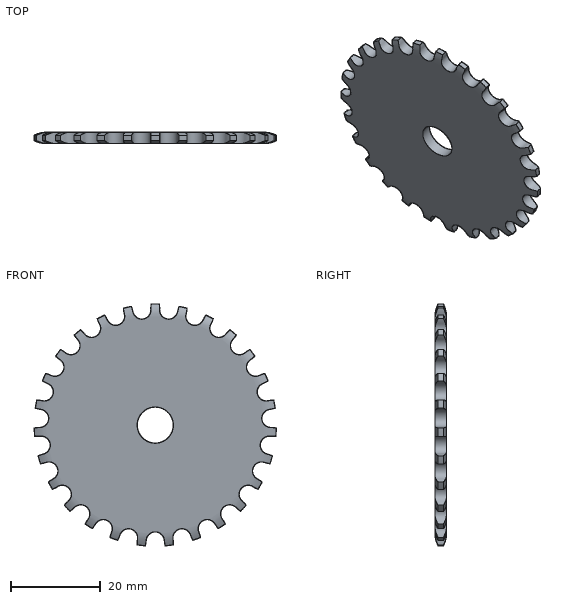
import cadquery as cq
import math

overall_length = 54.0
thickness = 2.6
bore_diameter = 8.0
tooth_count = 27
chain_pitch = 6.0

seat_radius = 2.0
flank_angle = 4.0
gap_tip_half_angle = 4.7

tip_thickness = 1.2
bevel_start_radius = 24.2

cutter_clearance = 0.55

tooth_angle = 360 / tooth_count
pitch_radius = chain_pitch / 2 / math.sin(math.pi / tooth_count)
half_thickness = thickness / 2
half_tip = tip_thickness / 2

corner_angle = math.radians(gap_tip_half_angle - tooth_angle / 4)
tip_radius = overall_length / 2 / math.cos(corner_angle)


def make_blank():
    """Disc whose side faces curve tangentially inward to the narrow tip."""
    bevel_depth = tip_radius - bevel_start_radius
    bevel_drop = half_thickness - half_tip
    bevel_radius = (bevel_depth**2 + bevel_drop**2) / (2 * bevel_drop)
    mid_angle = math.asin(bevel_depth / bevel_radius) / 2
    mid_radius = bevel_start_radius + bevel_radius * math.sin(mid_angle)
    mid_half = half_thickness - bevel_radius * (1 - math.cos(mid_angle))
    return (
        cq.Workplane("YZ")
        .moveTo(-half_thickness, 0)
        .lineTo(-half_thickness, bevel_start_radius)
        .threePointArc((-mid_half, mid_radius), (-half_tip, tip_radius))
        .lineTo(half_tip, tip_radius)
        .threePointArc((mid_half, mid_radius), (half_thickness, bevel_start_radius))
        .lineTo(half_thickness, 0)
        .close()
        .revolve(360, (0, 0, 0), (1, 0, 0))
    )


def make_gap_cutter():
    """Cutter for one tooth gap, centred on +Z and open past the tip circle."""
    clearance_z = tip_radius + cutter_clearance
    flank = math.radians(flank_angle)
    seat_end_x = seat_radius * math.cos(flank)
    seat_end_z = pitch_radius - seat_radius * math.sin(flank)
    tip_x = tip_radius * math.sin(math.radians(gap_tip_half_angle))
    tip_z = tip_radius * math.cos(math.radians(gap_tip_half_angle))

    run_x = tip_x - seat_end_x
    run_z = tip_z - seat_end_z
    chord_half = math.hypot(run_x, run_z) / 2
    chord_angle = math.atan2(run_x, run_z)
    bulge = chord_half * math.tan((chord_angle - flank) / 2)
    mid_x = (seat_end_x + tip_x) / 2 - bulge * math.cos(chord_angle)
    mid_z = (seat_end_z + tip_z) / 2 + bulge * math.sin(chord_angle)

    return (
        cq.Workplane("XZ")
        .moveTo(-tip_x, tip_z)
        .threePointArc((-mid_x, mid_z), (-seat_end_x, seat_end_z))
        .threePointArc((0, pitch_radius - seat_radius), (seat_end_x, seat_end_z))
        .threePointArc((mid_x, mid_z), (tip_x, tip_z))
        .lineTo(tip_x, clearance_z)
        .lineTo(-tip_x, clearance_z)
        .close()
        .extrude(half_thickness, both=True)
    )


sprocket = make_blank()

gap_cutter = make_gap_cutter()
for index in range(tooth_count):
    gap_position = (index + 0.5) * tooth_angle
    sprocket = sprocket.cut(gap_cutter.rotate((0, 0, 0), (0, 1, 0), gap_position))

bore = cq.Workplane("XZ").circle(bore_diameter / 2).extrude(half_thickness, both=True)

result = sprocket.cut(bore)